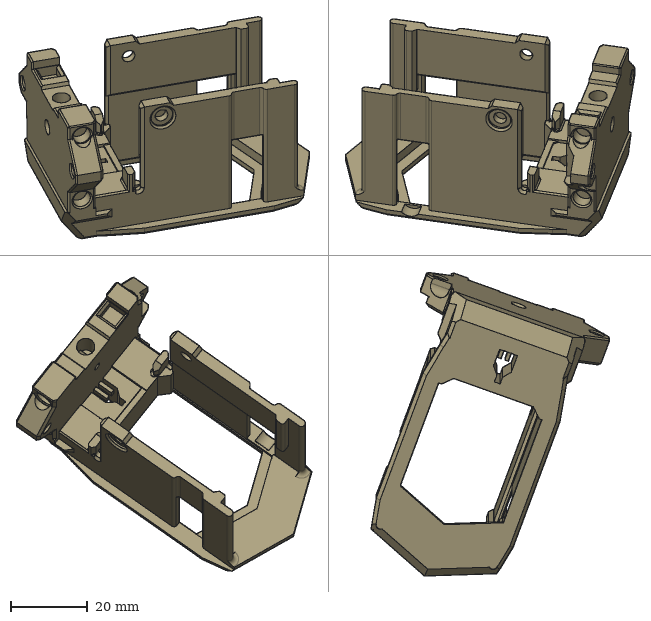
import cadquery as cq

LENGTH = 72.3
WIDTH = 50.8
TRIM = 0.01
OVERLAP = 0.7

FLANGE_HALF = 19.0
FLANGE_TOP = 2.3
FLANGE_CHAMFER = 1.0
SHOULDER_HALF = 17.4
FLANGE_REAR_Y = 56.8
FLANGE_FRONT_Y = 21.3
SHOULDER_FRONT_Y = 12.65
FLANGE_END_Y = 9.05
OPENING_HALF = 14.3
LEDGE_TOP = 1.45

TIP_TOP = 4.2
TIP_CORNER_Y = 65.6
TIP_CHAMFER = 2.3
TIP_INNER_Y = 60.45
TIP_LEDGE_Y = 57.2

WALL_OUTER = 16.7
TIP_SLOPE = (LENGTH - TIP_CORNER_Y) / WALL_OUTER
WALL_INNER = 13.5
THIN_INNER = 14.7
WALL_TOP = 37.6
WALL_FRONT_Y = 21.25
WALL_REAR_Y = 64.15
WALL_CHAMFER = 0.9
OVERHANG_Z = 22.4
OVERHANG_BEVEL = 0.9
LOWER_BEVEL = 0.65
STEP_UP = 1.0
PAD_REAR_Y = 30.1
RIB_INNER = 12.4
RIB_BOTTOM = 17.85
RIB_REAR_Y = 59.65
RIB_FRONT_Y = 56.5
RIB_RADIUS = 0.7
RIB_BEVEL = 1.0
RECESS_REAR_Y = 55.7
RECESS_FRONT_Y = 45.2
RECESS_RAMP = 1.8
RECESS_DEPTH = 1.4
LINTEL_BEVEL = 0.35
WALL_FOOT_RADIUS = 1.45

PIVOT_Y = 27.1
PIVOT_Z = 34.35
PIVOT_DIAMETER = 3.4
PIVOT_BORE = 6.0
PIVOT_BORE_RIM = 7.1
PIVOT_BORE_DEPTH = 1.1

NOTCH_Y = 50.5
NOTCH_DIAMETER = 6.0
NOTCH_DEPTH = 1.0
NOTCH_INNER = 15.4

BLOCK_TOP = 13.2
BLOCK_REAR_Y = 19.75
BLOCK_CHAMFER = 0.4
GUSSET = 2.45
CHANNEL_LEFT = -6.3
CHANNEL_RIGHT = 7.15
CHANNEL_DEPTH = 0.4
CHANNEL_REAR_Y = 18.1
CHANNEL_CORNER = 1.0
GAP_Y = (BLOCK_REAR_Y + WALL_FRONT_Y) / 2
GAP_DIAMETER = WALL_FRONT_Y - BLOCK_REAR_Y
GAP_RIM = 3.0

TAB_FRONT_Y = 17.65
TAB_TOP = 18.2
TAB_FLAT_END = 12.9
TAB_INNER = 10.8
TAB_CORNER = 0.95

KEY_HALF = 2.45
KEY_SHOULDER_Y = 13.0
KEY_NECK_HALF = 0.8
KEY_NECK_Y = 15.05
KEY_END_Y = 16.9
FINGER_X = 1.0
FINGER_WIDTH = 1.0
FINGER_END_Y = 12.6
FINGER_HEIGHT = 2.2

PLATE_FRONT_Y = 0.7
PLATE_REAR_Y = 8.3
PLATE_HALF = 18.5
PLATE_EDGE = 0.4
PLATE_REAR_EDGE = 0.7
EAR_HALF = WIDTH / 2
EAR_Z = 25.4
EAR_TIP_HALF = 1.45
EAR_ROOT_HALF = EAR_TIP_HALF + EAR_HALF - PLATE_HALF
EAR_RECESS_Y = 5.8
EAR_RECESS_X = 19.5
EAR_ROOF_Z = 30.15
EAR_SHELF_Z = 21.7
SADDLE_HALF = 5.05
SADDLE_MOUTH_HALF = 5.5
SADDLE_Z = 34.35
LEDGE_Z = 35.35
LEDGE_LEFT = -13.7
LEDGE_RIGHT = 9.2
TOP_EDGE = 0.3

NOSE_TOP = 10.8
NOSE_KNEE_Z = 6.0
NOSE_FOOT_Y = 4.35
NOSE_KNEE_X = 14.75
NOSE_BEVEL_NORMAL = (1.1, -1.0, -0.72)
WING_TOP = 8.45
WING_STRAIGHT_Y = 11.4
WING_TAPER = PLATE_HALF - WALL_OUTER

EAR_HOLE_X = 21.7
FRONT_HOLE_Z = 25.9
EAR_HOLE_DIAMETER = 3.4
EAR_HOLE_RIM = 4.2
CENTRE_HOLE_DIAMETER = 2.1
CENTRE_HOLE_RIM = 4.05
BORE_Y = 4.55
BORE_DIAMETER = 4.7
BORE_RIM = 5.6
SIDE_BORE_DEPTH = 3.6
SIDE_BORE_HEIGHTS = (14.2, 34.1)
SIDE_GROOVE_Y = 2.3
SIDE_GROOVE_Z = 19.9

POCKET_LEFT = -13.5
POCKET_RIGHT = -9.05
POCKET_FRONT_Y = 2.4
POCKET_REAR_Y = 7.4
POCKET_FLOOR = 32.55
POCKET_RIM = 0.7


def box(x0, x1, y0, y1, z0, z1):
    return cq.Workplane("XY").box(x1 - x0, y1 - y0, z1 - z0, centered=False).translate((x0, y0, z0))


def prism(points, z0, z1):
    """Extrude a plan outline between two heights."""
    return cq.Workplane("XY", origin=(0, 0, z0)).polyline(points).close().extrude(z1 - z0)


def mirrored(points):
    """Complete a right-hand outline with its left-hand mirror image."""
    return points + [(-x, y) for x, y in reversed(points) if x != 0]


def cylinder(diameter, start, direction, length):
    solid = cq.Solid.makeCylinder(diameter / 2, length, cq.Vector(*start), cq.Vector(*direction))
    return cq.Workplane(solid)


def rim(hole, edge, start, direction):
    """45 degree countersink that narrows from the edge diameter to the hole diameter."""
    depth = (edge - hole) / 2
    cone = cq.Solid.makeCone(edge / 2, hole / 2, depth, cq.Vector(*start), cq.Vector(*direction))
    return cq.Workplane(cone)


def both_sides(body):
    """Join a right-hand body with its left-hand mirror image."""
    return body.union(body.mirror("YZ"))


def tip_line_y(apex_y, x):
    return apex_y - TIP_SLOPE * abs(x)


def base_ring():
    side_outline = [
        (WALL_OUTER, FLANGE_END_Y),
        (SHOULDER_HALF, SHOULDER_FRONT_Y),
        (FLANGE_HALF, FLANGE_FRONT_Y),
        (FLANGE_HALF, FLANGE_REAR_Y),
        (SHOULDER_HALF, tip_line_y(LENGTH, SHOULDER_HALF)),
        (0, LENGTH),
    ]
    ring = prism(mirrored(side_outline), 0, TIP_TOP).faces("<Z").chamfer(FLANGE_CHAMFER)

    wide = FLANGE_HALF + OVERLAP
    bevelled = prism(mirrored([(wide, 0), (wide, tip_line_y(LENGTH, wide)), (0, LENGTH)]), 0, TIP_TOP)
    ring = ring.intersect(bevelled.faces("<Z").edges(">Y").chamfer(TIP_CHAMFER))

    above_flange = box(WALL_OUTER, wide, 0, LENGTH, FLANGE_TOP, TIP_TOP)
    tip_step = mirrored([
        (WALL_OUTER, 0),
        (WALL_OUTER, tip_line_y(TIP_INNER_Y, WALL_OUTER)),
        (0, TIP_INNER_Y),
    ])
    opening = mirrored([
        (OPENING_HALF, BLOCK_REAR_Y),
        (OPENING_HALF, tip_line_y(TIP_LEDGE_Y, OPENING_HALF)),
        (0, TIP_LEDGE_Y),
    ])
    ring = ring.cut(both_sides(above_flange))
    ring = ring.cut(prism(tip_step, LEDGE_TOP, TIP_TOP))
    return ring.cut(prism(opening, 0, TIP_TOP))


def flange_notch():
    """Round groove across the left flange, below the wall window."""
    axis_z = FLANGE_TOP - NOTCH_DEPTH + NOTCH_DIAMETER / 2
    groove = cylinder(NOTCH_DIAMETER, (-NOTCH_INNER, NOTCH_Y, axis_z), (-1, 0, 0), FLANGE_HALF)
    return groove.intersect(box(-FLANGE_HALF, -NOTCH_INNER, 0, LENGTH, 0, OVERHANG_Z))


def recess(z0, z1):
    """Outer wall recess whose two ends are S-shaped ramps."""
    mid_x = WALL_OUTER - RECESS_DEPTH / 2
    floor_x = WALL_OUTER - RECESS_DEPTH
    outside_x = WALL_OUTER + OVERLAP
    half_ramp = RECESS_RAMP / 2
    return (
        cq.Workplane("XY", origin=(0, 0, z0))
        .moveTo(WALL_OUTER, RECESS_REAR_Y + OVERLAP)
        .lineTo(WALL_OUTER, RECESS_REAR_Y)
        .tangentArcPoint((mid_x, RECESS_REAR_Y - half_ramp), relative=False)
        .tangentArcPoint((floor_x, RECESS_REAR_Y - RECESS_RAMP), relative=False)
        .lineTo(floor_x, RECESS_FRONT_Y + RECESS_RAMP)
        .tangentArcPoint((mid_x, RECESS_FRONT_Y + half_ramp), relative=False)
        .tangentArcPoint((WALL_OUTER, RECESS_FRONT_Y), relative=False)
        .lineTo(WALL_OUTER, RECESS_FRONT_Y - OVERLAP)
        .lineTo(outside_x, RECESS_FRONT_Y - OVERLAP)
        .lineTo(outside_x, RECESS_REAR_Y + OVERLAP)
        .close()
        .extrude(z1 - z0)
    )


def window():
    """Opening through the right-hand wall, bevelled under the lintel and along the rear jamb."""
    front = RECESS_FRONT_Y + RECESS_RAMP / 2
    rear = RECESS_REAR_Y - RECESS_RAMP / 2
    panel_outer = WALL_OUTER - RECESS_DEPTH
    section = [
        (0, FLANGE_TOP),
        (FLANGE_HALF, FLANGE_TOP),
        (FLANGE_HALF, OVERHANG_Z + LINTEL_BEVEL),
        (panel_outer, OVERHANG_Z + LINTEL_BEVEL),
        (panel_outer - LINTEL_BEVEL, OVERHANG_Z),
        (0, OVERHANG_Z),
    ]
    opening = cq.Workplane("XZ", origin=(0, front, 0)).polyline(section).close().extrude(front - rear)
    jamb_bevel = [
        (THIN_INNER, rear),
        (THIN_INNER, rear + LOWER_BEVEL),
        (THIN_INNER + LOWER_BEVEL, rear),
    ]
    return opening.union(prism(jamb_bevel, FLANGE_TOP, OVERHANG_Z))


def wall_foot(radius):
    """Concave fillet around the rounded rear end of the right-hand wall."""
    profile = (
        cq.Workplane("XZ")
        .lineTo(radius + WALL_FOOT_RADIUS, 0)
        .radiusArc((radius, WALL_FOOT_RADIUS), WALL_FOOT_RADIUS)
        .lineTo(0, WALL_FOOT_RADIUS)
        .close()
    )
    foot = profile.revolve(360, (0, 0, 0), (0, 1, 0))
    foot = foot.translate((WALL_OUTER - radius, WALL_REAR_Y - radius, TIP_TOP))
    return foot.intersect(box(0, WALL_OUTER, WALL_REAR_Y - radius, LENGTH, 0, WALL_TOP))


def pivot_hole():
    hole = cylinder(PIVOT_DIAMETER, (0, PIVOT_Y, PIVOT_Z), (1, 0, 0), FLANGE_HALF)
    mouth = (WALL_OUTER, PIVOT_Y, PIVOT_Z)
    bore = cylinder(PIVOT_BORE, mouth, (-1, 0, 0), PIVOT_BORE_DEPTH)
    edge = rim(PIVOT_BORE, PIVOT_BORE_RIM, mouth, (-1, 0, 0))
    return hole.union(bore).union(edge)


def side_wall():
    """Right-hand wall."""
    wall = box(WALL_INNER, WALL_OUTER, WALL_FRONT_Y, RIB_REAR_Y, 0, WALL_TOP)
    pad = box(WALL_INNER, WALL_OUTER, WALL_FRONT_Y, PAD_REAR_Y, WALL_TOP, WALL_TOP + STEP_UP)
    pad = pad.edges(">Y and >Z").chamfer(STEP_UP - TRIM)
    wall = wall.union(pad)
    wall = wall.edges("|Z and <Y").chamfer(WALL_CHAMFER)
    wall = wall.faces(">Z").edges("<Y").chamfer(WALL_CHAMFER)

    thin = WALL_OUTER - THIN_INNER
    lower_inside = (
        cq.Workplane("XZ")
        .polyline([
            (WALL_INNER - OVERLAP, 0),
            (THIN_INNER, 0),
            (THIN_INNER, OVERHANG_Z),
            (WALL_INNER + OVERHANG_BEVEL, OVERHANG_Z),
            (WALL_INNER, OVERHANG_Z + OVERHANG_BEVEL),
            (WALL_INNER - OVERLAP, OVERHANG_Z + OVERHANG_BEVEL),
        ])
        .close()
        .extrude(-LENGTH)
    )
    wall = wall.cut(lower_inside)
    lower_corner = cq.selectors.NearestToPointSelector((THIN_INNER, WALL_FRONT_Y, OVERHANG_Z / 2))
    wall = wall.edges("|Z").edges(lower_corner).chamfer(LOWER_BEVEL)
    rear_radius = thin / 2
    rear_end = box(THIN_INNER, WALL_OUTER, RIB_FRONT_Y, WALL_REAR_Y - rear_radius, 0, WALL_TOP)
    rear_round = cylinder(
        thin, (WALL_OUTER - rear_radius, WALL_REAR_Y - rear_radius, 0), (0, 0, 1), WALL_TOP
    )
    wall = wall.cut(box(0, THIN_INNER, RIB_FRONT_Y, LENGTH, 0, WALL_TOP))
    wall = wall.union(rear_end).union(rear_round).union(wall_foot(rear_radius))

    rib = box(RIB_INNER, THIN_INNER, RIB_FRONT_Y, RIB_REAR_Y, RIB_BOTTOM, WALL_TOP)
    rib = rib.edges("|Z and <X and >Y").fillet(RIB_RADIUS)
    wall = wall.union(rib.edges("|Z and <X and <Y").chamfer(RIB_BEVEL))

    return wall.cut(pivot_hole())


def tab():
    """Right-hand stop tab with a 45 degree slope at its inner end."""
    drop = TAB_FLAT_END - TAB_INNER
    profile = [
        (WALL_OUTER, BLOCK_TOP - OVERLAP),
        (WALL_OUTER, TAB_TOP),
        (TAB_FLAT_END, TAB_TOP),
        (TAB_INNER, TAB_TOP - drop),
        (TAB_INNER, BLOCK_TOP - OVERLAP),
    ]
    body = cq.Workplane("XZ", origin=(0, BLOCK_REAR_Y, 0)).polyline(profile).close()
    body = body.extrude(BLOCK_REAR_Y - TAB_FRONT_Y)
    body = body.edges("|Z and <X").chamfer(TAB_CORNER)
    body = body.edges("|Z and >X and >Y").chamfer(WALL_CHAMFER)
    return body.edges("|Z and >X and <Y").chamfer(BLOCK_CHAMFER)


def tab_foot():
    """Bevelled foot along the front and inner end of the right-hand tab."""
    inner = TAB_INNER - BLOCK_CHAMFER
    front = TAB_FRONT_Y - BLOCK_CHAMFER
    outer = WALL_OUTER - BLOCK_CHAMFER
    foot = box(inner, outer, front, BLOCK_REAR_Y, BLOCK_TOP - OVERLAP, BLOCK_TOP + BLOCK_CHAMFER)
    foot = foot.edges("|Z and <X").chamfer(TAB_CORNER)
    return foot.faces(">Z").edges("<Y").chamfer(BLOCK_CHAMFER - TRIM)


def keyhole():
    outline = mirrored([
        (KEY_HALF, PLATE_REAR_Y),
        (KEY_HALF, KEY_SHOULDER_Y),
        (KEY_NECK_HALF, KEY_NECK_Y),
        (KEY_NECK_HALF, KEY_END_Y),
    ])
    return prism(outline, 0, BLOCK_TOP)


def fingers():
    top = BLOCK_TOP - 2 * CHANNEL_DEPTH
    half = FINGER_WIDTH / 2
    finger = box(
        FINGER_X - half, FINGER_X + half, PLATE_REAR_Y - OVERLAP, FINGER_END_Y, top - FINGER_HEIGHT, top
    )
    return both_sides(finger)


def bottom_bevel():
    """Bevel along the lower right-hand edge, in front of the flange."""
    section = [
        (WALL_OUTER - FLANGE_CHAMFER, 0),
        (WALL_OUTER, FLANGE_CHAMFER),
        (WALL_OUTER, 0),
    ]
    return cq.Workplane("XZ").polyline(section).close().extrude(-FLANGE_END_Y)


def wing():
    """Right-hand side wing with 45 degree faces at its rear end and underside."""
    plan = [
        (0, 0),
        (PLATE_HALF, 0),
        (PLATE_HALF, WING_STRAIGHT_Y),
        (WALL_OUTER, WING_STRAIGHT_Y + WING_TAPER),
        (0, WING_STRAIGHT_Y + WING_TAPER),
    ]
    section = [
        (0, NOSE_KNEE_Z),
        (WALL_OUTER, NOSE_KNEE_Z),
        (PLATE_HALF, NOSE_KNEE_Z + WING_TAPER),
        (PLATE_HALF, WING_TOP),
        (0, WING_TOP),
    ]
    return prism(plan, 0, WING_TOP).intersect(
        cq.Workplane("XZ").polyline(section).close().extrude(-BLOCK_REAR_Y)
    )


def nose():
    """Front foot of the block, sloped back below the knee."""
    profile = [
        (0, NOSE_TOP),
        (0, NOSE_KNEE_Z),
        (NOSE_FOOT_Y, 0),
        (PLATE_REAR_Y, 0),
        (PLATE_REAR_Y, NOSE_TOP),
    ]
    body = cq.Workplane("YZ", origin=(-PLATE_HALF, 0, 0)).polyline(profile).close()
    body = body.extrude(2 * PLATE_HALF)
    return body.cut(both_sides(box(WALL_OUTER, EAR_HALF, 0, LENGTH, 0, NOSE_KNEE_Z + WING_TAPER)))


def nose_bevel():
    """Region outside the slanted plane that cuts the right-hand front corner."""
    plane = cq.Plane(
        origin=(NOSE_KNEE_X, 0, NOSE_KNEE_Z),
        xDir=(0, NOSE_FOOT_Y, -NOSE_KNEE_Z),
        normal=NOSE_BEVEL_NORMAL,
    )
    return cq.Workplane(plane).rect(EAR_HALF, EAR_HALF).extrude(EAR_HALF)


def block():
    body = box(-WALL_OUTER, WALL_OUTER, PLATE_REAR_Y - OVERLAP, BLOCK_REAR_Y, 0, BLOCK_TOP)
    rail_rear = WALL_FRONT_Y + 2 * WALL_CHAMFER
    rail = box(THIN_INNER, WALL_OUTER, BLOCK_REAR_Y - OVERLAP, rail_rear, 0, BLOCK_TOP)
    gusset = prism(
        [
            (THIN_INNER, BLOCK_REAR_Y - OVERLAP),
            (WALL_INNER - GUSSET, BLOCK_REAR_Y - OVERLAP),
            (WALL_INNER - GUSSET, BLOCK_REAR_Y),
            (WALL_INNER, BLOCK_REAR_Y + GUSSET),
            (THIN_INNER, BLOCK_REAR_Y + GUSSET),
        ],
        0,
        BLOCK_TOP,
    )
    gap = cylinder(GAP_DIAMETER, (THIN_INNER, GAP_Y, BLOCK_TOP), (1, 0, 0), FLANGE_HALF)
    gap = gap.union(rim(GAP_DIAMETER, GAP_RIM, (WALL_OUTER, GAP_Y, BLOCK_TOP), (-1, 0, 0)))
    body = body.edges("|Y and >Z").chamfer(BLOCK_CHAMFER)
    body = body.edges("|Y and <Z").chamfer(FLANGE_CHAMFER)
    body = body.union(both_sides(rail.union(gusset).cut(gap)))
    body = body.union(both_sides(tab().union(tab_foot()))).union(both_sides(wing()))

    front_level = BLOCK_TOP - 2 * CHANNEL_DEPTH
    rear_level = BLOCK_TOP - CHANNEL_DEPTH
    body = body.cut(box(CHANNEL_LEFT, CHANNEL_RIGHT, 0, BLOCK_REAR_Y, rear_level, BLOCK_TOP))
    channel = box(CHANNEL_LEFT, CHANNEL_RIGHT, 0, CHANNEL_REAR_Y, front_level, BLOCK_TOP)
    return body.cut(channel.edges("|Z and >X and >Y").chamfer(CHANNEL_CORNER))


def saddle():
    section = mirrored([(SADDLE_HALF, SADDLE_Z), (SADDLE_MOUTH_HALF, LEDGE_Z)])
    return cq.Workplane("XZ").polyline(section).close().extrude(-PLATE_REAR_Y)


def plate():
    top_steps = [
        (PLATE_HALF, WALL_TOP),
        (LEDGE_RIGHT, WALL_TOP),
        (LEDGE_RIGHT, LEDGE_Z),
        (LEDGE_LEFT, LEDGE_Z),
        (LEDGE_LEFT, WALL_TOP),
        (-PLATE_HALF, WALL_TOP),
    ]
    ear = [
        (PLATE_HALF, EAR_Z + EAR_ROOT_HALF),
        (EAR_HALF, EAR_Z + EAR_TIP_HALF),
        (EAR_HALF, EAR_Z - EAR_TIP_HALF),
        (PLATE_HALF, EAR_Z - EAR_ROOT_HALF),
    ]
    foot_z = NOSE_KNEE_Z + WING_TAPER
    left_ear = [(-x, z) for x, z in ear]
    feet = [(PLATE_HALF, foot_z), (-PLATE_HALF, foot_z)]
    outline = top_steps + left_ear + feet[::-1] + ear[::-1]
    body = cq.Workplane("XZ", origin=(0, PLATE_REAR_Y, 0)).polyline(outline).close()
    body = body.extrude(PLATE_REAR_Y - PLATE_FRONT_Y)
    top_corners = [
        (-PLATE_HALF, WALL_TOP),
        (LEDGE_RIGHT, WALL_TOP),
        (PLATE_HALF, WALL_TOP),
    ]
    for x, z in top_corners:
        corner = cq.selectors.NearestToPointSelector((x, (PLATE_FRONT_Y + PLATE_REAR_Y) / 2, z))
        body = body.edges("|Y").edges(corner).chamfer(TOP_EDGE)
    body = body.faces("<Y").chamfer(PLATE_EDGE)

    reach = EAR_HALF + OVERLAP
    left_side = cq.selectors.BoxSelector((-reach, 0, 0), (-PLATE_HALF + PLATE_EDGE / 2, LENGTH, WALL_TOP))
    right_side = cq.selectors.BoxSelector((PLATE_HALF - PLATE_EDGE / 2, 0, 0), (reach, LENGTH, WALL_TOP))
    body = body.faces(">Y").edges(left_side + right_side).chamfer(PLATE_REAR_EDGE)
    return body.cut(saddle())


def ear_recess():
    """Relief behind the left ear, with a low shelf and a roof rising at 45 degrees to the rear."""
    depth = PLATE_REAR_Y - EAR_RECESS_Y
    profile = [
        (EAR_RECESS_Y, EAR_SHELF_Z),
        (EAR_RECESS_Y, EAR_ROOF_Z),
        (PLATE_REAR_Y, EAR_ROOF_Z + depth),
        (PLATE_REAR_Y, EAR_SHELF_Z),
    ]
    relief = cq.Workplane("YZ", origin=(-EAR_HALF, 0, 0)).polyline(profile).close()
    return relief.extrude(EAR_HALF - EAR_RECESS_X)


def countersunk_hole(x, diameter, edge):
    start = (x, PLATE_FRONT_Y, FRONT_HOLE_Z)
    hole = cylinder(diameter, start, (0, 1, 0), PLATE_REAR_Y)
    return hole.union(rim(diameter, edge, start, (0, 1, 0)))


def side_bore(z):
    """Bore into the right-hand edge; it also grooves the ear where the ear slope meets it."""
    start = (PLATE_HALF, BORE_Y, z)
    bore = cylinder(BORE_DIAMETER, (PLATE_HALF - SIDE_BORE_DEPTH, BORE_Y, z), (1, 0, 0), EAR_HALF)
    edge = rim(BORE_DIAMETER, BORE_RIM, start, (-1, 0, 0))
    return bore.union(edge)


def side_groove():
    """Round-ended notch under the left ear, open to the front."""
    groove = cylinder(BORE_DIAMETER, (-PLATE_HALF, SIDE_GROOVE_Y, SIDE_GROOVE_Z), (-1, 0, 0), EAR_HALF)
    half = BORE_DIAMETER / 2
    mouth = box(-EAR_HALF, -PLATE_HALF, 0, SIDE_GROOVE_Y, SIDE_GROOVE_Z - half, SIDE_GROOVE_Z + half)
    return groove.union(mouth)


def top_pocket():
    """Pocket in the top ledge, flared around its mouth."""
    width = POCKET_RIGHT - POCKET_LEFT
    length = POCKET_REAR_Y - POCKET_FRONT_Y
    pocket = box(POCKET_LEFT, POCKET_RIGHT, POCKET_FRONT_Y, POCKET_REAR_Y, POCKET_FLOOR, LEDGE_Z)
    flare = (
        cq.Workplane("XY", origin=(0, 0, LEDGE_Z - POCKET_RIM))
        .center((POCKET_LEFT + POCKET_RIGHT) / 2, (POCKET_FRONT_Y + POCKET_REAR_Y) / 2)
        .rect(width, length)
        .workplane(offset=POCKET_RIM)
        .rect(width + 2 * POCKET_RIM, length + 2 * POCKET_RIM)
        .loft()
    )
    right_of_block = box(POCKET_LEFT, 0, 0, PLATE_REAR_Y, POCKET_FLOOR, LEDGE_Z)
    return pocket.union(flare.intersect(right_of_block))


def plate_openings():
    tools = countersunk_hole(0, CENTRE_HOLE_DIAMETER, CENTRE_HOLE_RIM)
    for x in (-EAR_HOLE_X, EAR_HOLE_X):
        tools = tools.union(countersunk_hole(x, EAR_HOLE_DIAMETER, EAR_HOLE_RIM))
    for z in SIDE_BORE_HEIGHTS:
        tools = tools.union(both_sides(side_bore(z)))
    top_bore = cylinder(BORE_DIAMETER, (0, BORE_Y, FRONT_HOLE_Z), (0, 0, 1), WALL_TOP)
    return tools.union(top_bore).union(ear_recess()).union(side_groove()).union(top_pocket())


def front_plate():
    return plate().union(nose()).cut(plate_openings())


result = (
    base_ring()
    .union(both_sides(side_wall()))
    .cut(both_sides(recess(FLANGE_TOP, WALL_TOP).union(window())))
    .cut(flange_notch())
    .union(block())
    .union(front_plate())
    .cut(keyhole())
    .union(fingers())
    .cut(both_sides(bottom_bevel()))
    .cut(both_sides(nose_bevel()))
)